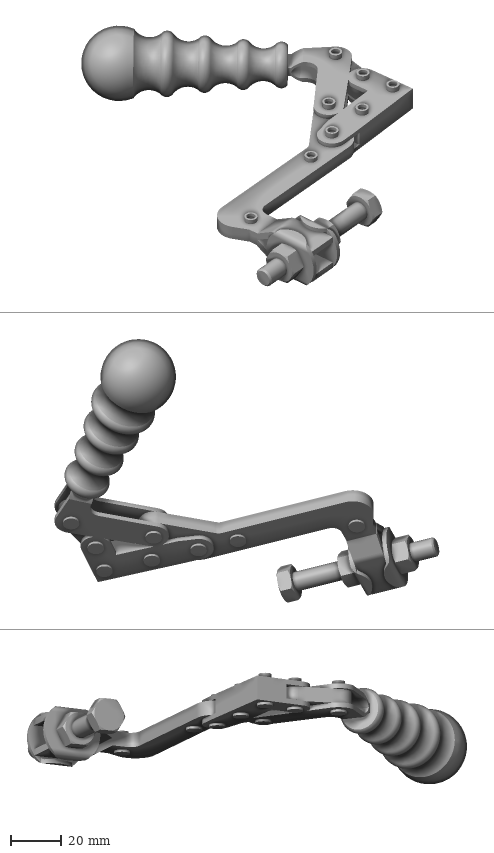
import cadquery as cq
import math


core_half = 3.0
plate_t = 2.0
plate_half = core_half + plate_t

arm_pin = (0.0, 0.0)
handle_top_pin = (-31.6, 43.0)
handle_low_pin = (-13.0, 14.5)
bracket_pins = [(0.0, 19.6), (0.0, 39.6)]
bracket_link_pin = (-14.2, 38.5)

rivet_r = 2.6
rivet_head_r = 3.3
rivet_bore_r = 1.8
rivet_bore_depth = 2.0
rivet_proud = 2.3
rivet_head_t = 1.0
lever_rivet_proud = 2.0

ball_centre = (-101.0, -8.5)
ball_r = 15.0
grip_angle = 36.9
handle_top_r = 6.5
handle_low_r = 6.0
elbow_fillet = 4.7
neck_half = 4.7
neck_start = 73.5
neck_inner_bend = 72.4
neck_apex = 68.7
neck_outer_close = 68.7
neck_inner_mid = (70.0, 1.8)
neck_outer_mid = (71.4, 4.0)
neck_end = 65.5
ball_end = 5.9
grip_end = 67.5
grip_end_r = 5.2
ridge_half = 2.5
ridge_drop = 1.1
ridges = [(19.2, 13.3), (34.2, 11.5), (49.6, 10.1), (64.8, 9.3)]
valleys = [(11.0, 10.6), (26.4, 9.2), (41.7, 7.5), (57.0, 6.5)]

bracket_end_r = 6.0
bracket_left = -7.0
bracket_right = 6.2
bracket_taper_y = 6.4
bracket_core_y = 9.8
link_r = 5.0

arm_tilt = -2.2
arm_pin_r = 8.8
arm_low_r = 6.0
lever_left = -3.6
lever_right = 8.8
heel_y = -77.0
heel_ramp_end = 14.7
heel_r = 8.3
crook_r = 4.1
kink_r = 4.1
lever_pins = [(2.5, -15.9), (11.0, -63.3)]

foot_y = -62.4
foot_half = 6.2
fork_half = 6.4
fork_start = 18.7
fork_apex = 19.0
fork_bend = 26.7
fork_inner_bend = 27.7
fork_bend_r = 4.1
fork_end = 47.5
fork_outer = 7.5
fork_inner = 4.9

bolt_x = 37.5
bolt_r = 4.0
bolt_tip_y = -87.2
bolt_head_y = -27.3
bolt_head_h = 5.7
bolt_tip_chamfer = 0.7
hex_flats = 13.1
hex_corner_r = hex_flats / math.sqrt(3)
nut_h = 6.7
hex_clip_r = 1.0
hex_clip_h = 0.7
washer_t = 1.8
washer_r = 12.3
washer_half = 10.5
lip_t = 1.6
lip_reach = 5.0
lip_r = 9.0
lip_bend_r = 2.8


def shift(point, direction_deg, distance):
    angle = math.radians(direction_deg)
    return (point[0] + distance * math.cos(angle), point[1] + distance * math.sin(angle))


def slab(outline, z0, z1):
    return outline.extrude(z1 - z0).translate((0, 0, z0))


def disc(centre, radius, z0, z1):
    return slab(cq.Workplane("XY").center(*centre).circle(radius), z0, z1)


def heading(p, q):
    return math.degrees(math.atan2(q[1] - p[1], q[0] - p[0]))


def tangent_angle(p, rp, q, rq):
    """Angle from the line pq to the normals of the two outer tangents."""
    return math.degrees(math.acos((rp - rq) / math.dist(p, q)))


def round_bar(p, rp, q, rq, z0, z1):
    """Flat bar with round ends of radius rp and rq, its sides tangent to both."""
    along = heading(p, q)
    turn = tangent_angle(p, rp, q, rq)
    outline = (
        cq.Workplane("XY")
        .moveTo(*shift(p, along - turn, rp))
        .lineTo(*shift(q, along - turn, rq))
        .threePointArc(shift(q, along, rq), shift(q, along + turn, rq))
        .lineTo(*shift(p, along + turn, rp))
        .threePointArc(shift(p, along + 180, rp), shift(p, along - turn, rp))
        .close()
    )
    return slab(outline, z0, z1)


def on_both_sides(solid):
    return solid.union(solid.mirror("XY"))


def fillet_corner(solid, corner, radius):
    """Round the upright edge closest to a point of the XY plane."""
    edge = solid.edges("|Z").edges(cq.selectors.NearestToPointSelector((*corner, 0)))
    return edge.fillet(radius)


def rivet(centre, half, proud):
    bottom = -half - rivet_head_t
    top = half + proud
    body = disc(centre, rivet_r, bottom, top)
    head = disc(centre, rivet_head_r, bottom, -half)
    bore = disc(centre, rivet_bore_r, top - rivet_bore_depth, top)
    return body.union(head).cut(bore)


def place_on_grip(solid):
    return solid.rotate((0, 0, 0), (0, 0, 1), grip_angle).translate((*ball_centre, 0))


def grip():
    """Ball and ridged sleeve, turned about the grip axis."""
    profile = (
        cq.Workplane("XY")
        .moveTo(-ball_r, 0)
        .threePointArc((0, ball_r), (ball_end, math.sqrt(ball_r**2 - ball_end**2)))
    )
    for valley, (ridge_s, ridge_r) in zip(valleys, ridges):
        side_r = ridge_r - ridge_drop
        profile = profile.threePointArc(valley, (ridge_s - ridge_half, side_r))
        profile = profile.threePointArc((ridge_s, ridge_r), (ridge_s + ridge_half, side_r))
    profile = profile.lineTo(grip_end, grip_end_r)
    profile = profile.lineTo(grip_end, 0).close()
    return place_on_grip(profile.revolve(360, (0, 0, 0), (1, 0, 0)))


def handle():
    """Grip and the two cheek plates, which close together where they enter the grip."""
    angle = math.radians(grip_angle)
    dx = handle_top_pin[0] - ball_centre[0]
    dy = handle_top_pin[1] - ball_centre[1]
    pin_s = dx * math.cos(angle) + dy * math.sin(angle)
    pin_t = dy * math.cos(angle) - dx * math.sin(angle)

    neck = cq.Workplane("XY").polyline([
        (neck_start, -neck_half),
        (pin_s, -neck_half),
        (pin_s, pin_t + handle_top_r),
        (neck_start, neck_half),
    ]).close()
    neck = place_on_grip(slab(neck, core_half, plate_half))
    leg = round_bar(handle_top_pin, handle_top_r, handle_low_pin, handle_low_r, core_half, plate_half)
    plate = neck.union(leg)
    bisector = (grip_angle + 180 + heading(handle_top_pin, handle_low_pin) + 360) / 2
    plate = fillet_corner(plate, shift(handle_top_pin, bisector, handle_top_r), elbow_fillet)

    bend = (
        cq.Workplane("XZ")
        .moveTo(neck_apex, 0)
        .threePointArc(neck_inner_mid, (neck_inner_bend, core_half))
        .lineTo(neck_start, core_half)
        .lineTo(neck_start, plate_half)
        .threePointArc(neck_outer_mid, (neck_outer_close, plate_t))
        .lineTo(neck_end, plate_t)
        .lineTo(neck_end, 0)
        .close()
        .extrude(neck_half, both=True)
    )
    return grip().union(on_both_sides(plate)).union(place_on_grip(on_both_sides(bend)))


def bracket():
    """Cheek plates of an angled outline, with a solid core along the mounting side."""
    top = bracket_link_pin[1] + bracket_end_r
    under = bracket_link_pin[1] - bracket_end_r
    link_x = bracket_link_pin[0]
    outline = (
        cq.Workplane("XY")
        .moveTo(bracket_right, top)
        .lineTo(link_x, top)
        .threePointArc((link_x - bracket_end_r, bracket_link_pin[1]), (link_x, under))
        .lineTo(bracket_left, under)
        .lineTo(bracket_left, bracket_taper_y)
        .lineTo(-bracket_end_r, 0)
        .threePointArc((0, -bracket_end_r), (bracket_end_r, 0))
        .lineTo(bracket_right, bracket_taper_y)
        .close()
    )
    cheeks = on_both_sides(slab(outline, core_half, plate_half))
    core_outline = cq.Workplane("XY").polyline([
        (bracket_left, bracket_core_y),
        (bracket_right, bracket_core_y),
        (bracket_right, top),
        (bracket_left, top),
    ]).close()
    core = slab(core_outline, -core_half, core_half)
    return cheeks.union(core)


def tilt(solid):
    return solid.rotate((0, 0, 0), (0, 0, 1), arm_tilt)


def arm():
    """Bar between the handle and bracket pins, running on into the tilted lever."""
    bar = round_bar(handle_low_pin, arm_low_r, arm_pin, arm_pin_r, -core_half, core_half)

    lever = cq.Workplane("XY").polyline([
        (lever_left, 0),
        (lever_left, heel_y),
        (heel_ramp_end, foot_y - foot_half),
        (fork_start, foot_y - foot_half),
        (fork_start, foot_y + foot_half),
        (lever_right, foot_y + foot_half),
        (lever_right, 0),
    ]).close()
    lever = slab(lever, -core_half, core_half)
    lever = fillet_corner(lever, (lever_left, heel_y), heel_r)
    lever = fillet_corner(lever, (lever_right, foot_y + foot_half), crook_r)

    along = heading(handle_low_pin, arm_pin)
    normal = along - tangent_angle(handle_low_pin, arm_low_r, arm_pin, arm_pin_r)
    normal_in_lever = math.radians(normal - arm_tilt)
    kink_y = (arm_pin_r - lever_left * math.cos(normal_in_lever)) / math.sin(normal_in_lever)
    kink = shift(shift(arm_pin, arm_tilt, lever_left), arm_tilt + 90, kink_y)
    tangent_point = shift(arm_pin, normal, arm_pin_r)
    web = slab(
        cq.Workplane("XY").polyline([arm_pin, tangent_point, kink]).close(),
        -core_half, core_half,
    )
    whole = bar.union(tilt(lever)).union(web).clean()
    return fillet_corner(whole, kink, kink_r)


def fork():
    """Two legs that spread from the arm and run parallel past the bolt."""
    upper = [
        (fork_start, 0),
        (fork_start, core_half),
        (fork_bend, fork_outer),
        (fork_end, fork_outer),
        (fork_end, fork_inner),
        (fork_inner_bend, fork_inner),
        (fork_apex, 0),
    ]
    leg = cq.Workplane("XZ").polyline(upper).close().extrude(fork_half, both=True)
    bend = leg.edges("|Y").edges(cq.selectors.NearestToPointSelector((fork_bend, 0, fork_outer)))
    return on_both_sides(bend.fillet(fork_bend_r)).translate((0, foot_y, 0))


def lipped_washer():
    """Washer on Y = 0..washer_t whose two flat sides carry lips that reach to +Y."""
    keep = cq.Workplane("XY").box(2 * washer_r, 2 * lip_reach, 2 * washer_half)
    plate = cq.Workplane("XZ").circle(washer_r).extrude(-washer_t).intersect(keep)
    lip = disc((0, lip_reach - lip_r), lip_r, washer_half - lip_t, washer_half)
    lip = lip.intersect(keep.translate((0, lip_reach, 0)))
    body = plate.union(on_both_sides(lip))
    for side in (-1, 1):
        inner_corner = (0, washer_t, side * (washer_half - lip_t))
        edge = body.edges("|X").edges(cq.selectors.NearestToPointSelector(inner_corner))
        body = edge.fillet(lip_bend_r - lip_t)
    corner = (
        cq.Workplane("YZ")
        .moveTo(0, washer_half)
        .lineTo(lip_bend_r, washer_half)
        .threePointArc(
            shift((lip_bend_r, washer_half - lip_bend_r), 135, lip_bend_r),
            (0, washer_half - lip_bend_r),
        )
        .close()
        .extrude(washer_r, both=True)
    )
    return body.cut(on_both_sides(corner))


def hexagon(y0, height):
    """Hexagonal prism along +Y with its flats facing up and down and its corner tips clipped."""
    prism = cq.Workplane("XZ").polygon(6, 2 * hex_corner_r).extrude(-height)
    envelope = cq.Workplane("XZ").circle(hex_corner_r).extrude(-height)
    envelope = envelope.faces("<Y or >Y").chamfer(hex_clip_h, hex_clip_r)
    return prism.intersect(envelope).translate((0, y0, 0))


def bolt():
    """Bolt, nuts and washers about an axis along Y; the washers clamp the fork."""
    upper_face = foot_y + fork_half + washer_t
    lower_face = foot_y - fork_half - washer_t
    shank = cq.Workplane("XZ").circle(bolt_r).extrude(-(bolt_head_y - bolt_tip_y))
    shank = shank.faces("<Y").chamfer(bolt_tip_chamfer).translate((0, bolt_tip_y, 0))
    lower_washer = lipped_washer().translate((0, lower_face, 0))
    upper_washer = lipped_washer().mirror("XZ").translate((0, upper_face, 0))
    parts = shank.union(hexagon(bolt_head_y, bolt_head_h))
    parts = parts.union(hexagon(upper_face, nut_h)).union(hexagon(lower_face - nut_h, nut_h))
    return parts.union(lower_washer).union(upper_washer).translate((bolt_x, 0, 0))


link = round_bar(handle_top_pin, link_r, bracket_link_pin, link_r, -core_half, core_half)

result = handle().union(link).union(arm()).union(bracket())
result = result.union(tilt(fork().union(bolt())))
for pin in [arm_pin, handle_top_pin, handle_low_pin, bracket_link_pin, *bracket_pins]:
    result = result.union(rivet(pin, plate_half, rivet_proud))
for pin in lever_pins:
    result = result.union(tilt(rivet(pin, core_half, lever_rivet_proud)))